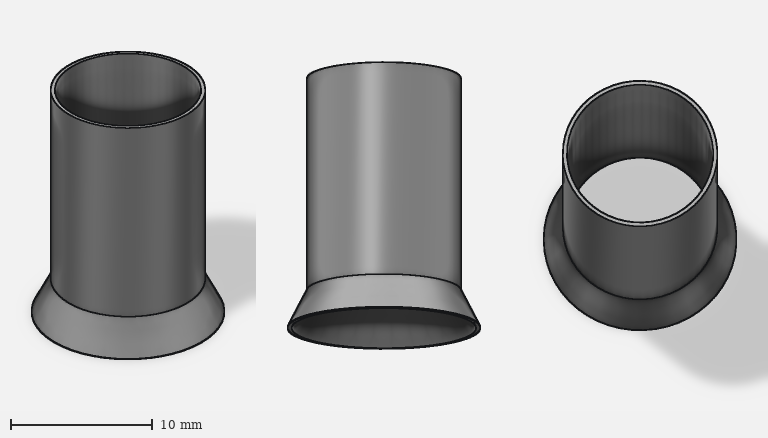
import cadquery as cq

total_height = 18.0
bore_diameter = 10.3
wall_thickness = 0.3
flare_diameter = 13.6
flare_height = 2.7
rim_height = 0.05

bore_radius = bore_diameter / 2
tube_radius = bore_radius + wall_thickness
flare_radius = flare_diameter / 2
flare_bore_radius = flare_radius - wall_thickness


def flared_sleeve():
    """Thin straight tube opening into a conical flare at its base."""
    half_section = (
        cq.Workplane("XZ")
        .moveTo(flare_bore_radius, 0)
        .lineTo(flare_radius, 0)
        .lineTo(flare_radius, rim_height)
        .lineTo(tube_radius, flare_height)
        .lineTo(tube_radius, total_height)
        .lineTo(bore_radius, total_height)
        .lineTo(bore_radius, flare_height)
        .close()
    )
    return half_section.revolve(360, (0, 0, 0), (0, 1, 0))


result = flared_sleeve()